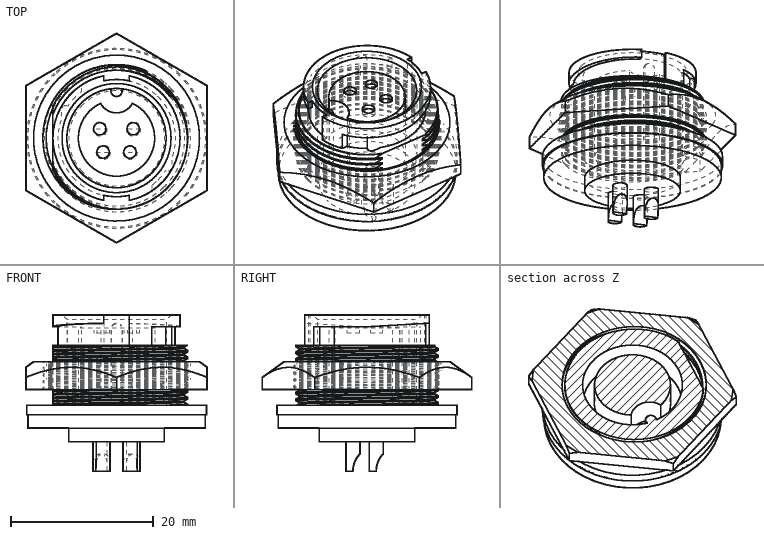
import cadquery as cq
import math


top_z = 12.64
rim_underside_z = 10.98
ramp_end_z = 11.48
thread_top_z = 8.38
flange_step_z = -1.35
flange_bottom_z = -3.2
boss_bottom_z = -5.15
contact_bottom_z = -9.25

flange_radius = 12.62
flange_lower_radius = 12.44
boss_radius = 6.7

pitch = 0.942
crest_radius = 9.97
root_radius = 9.5
crest_width = 0.2
flank_angle = 30
crest_z_at_x_axis = 6.63
thread_overlap = 0.1
barrel_flat_x = -8.9

rim_radius = 8.9
neck_radius = 8.21
notch_half_width = 1.81
stop_x = 4.9
detent_x = 7.71
detent_y = 4.04
detent_fillet = 0.55

bore_radius = 6.95
bore_mouth_radius = 7.64
bore_chamfer_height = 0.6
cavity_floor_z = 0.0

insert_radius = 5.34
insert_top_z = 10.87
insert_notch_radius = 2.55
insert_notch_y = 6.08
key_radius = 0.78
key_y = 6.6
key_ball_z = 10.74
contact_hole_radius = 0.86
contact_hole_depth = 0.7

contact_positions = [(-2.33, 1.3), (2.33, 1.3), (-1.88, -1.96), (1.88, -1.96)]
contact_radius = 0.99
cup_cut_start_z = -6.8

nut_sides = 6
nut_across_flats = 25.4
nut_bottom_z = 2.19
nut_top_z = 6.1
nut_top_radius = 11.62
nut_chamfer_angle = 36
nut_thread_clearance = 0.34
tap_overrun = 0.3


def cylinder(radius, bottom_z, top_z, x=0.0, y=0.0):
    return cq.Workplane("XY", origin=(x, y, bottom_z)).circle(radius).extrude(top_z - bottom_z)


def block(x_range, y_range, z_range):
    """Box between two limits along each axis."""
    size = [high - low for low, high in (x_range, y_range, z_range)]
    corner = (x_range[0], y_range[0], z_range[0])
    return cq.Workplane("XY").box(*size, centered=False).translate(corner)


def thread(root, crest, bottom_z, top_z):
    """Cylinder with a right-handed helical ridge, cut off flat at both ends."""
    inner = root - thread_overlap
    half_crest = crest_width / 2
    half_base = half_crest + (crest - inner) * math.tan(math.radians(flank_angle))
    first_turn = math.floor((bottom_z - crest_z_at_x_axis) / pitch) - 1
    start_z = crest_z_at_x_axis + first_turn * pitch
    turns = math.ceil((top_z - start_z) / pitch) + 1
    path = cq.Wire.makeHelix(pitch, turns * pitch, root).translate(cq.Vector(0, 0, start_z))
    ridge = (
        cq.Workplane("XZ")
        .polyline([
            (inner, start_z - half_base),
            (crest, start_z - half_crest),
            (crest, start_z + half_crest),
            (inner, start_z + half_base),
        ])
        .close()
        .sweep(cq.Workplane(path), isFrenet=True)
    )
    trimmed_ridge = ridge.intersect(cylinder(crest + 1, bottom_z, top_z))
    return cylinder(root, bottom_z, top_z).union(trimmed_ridge)


def flange():
    upper = cylinder(flange_radius, flange_step_z, 0)
    lower = cylinder(flange_lower_radius, flange_bottom_z, flange_step_z)
    boss = cylinder(boss_radius, boss_bottom_z, flange_bottom_z)
    return upper.union(lower).union(boss)


def threaded_barrel():
    barrel = thread(root_radius, crest_radius, 0, thread_top_z)
    beyond = -2 * crest_radius
    flat_cut = block((beyond, barrel_flat_x), (beyond, -beyond), (-1, thread_top_z + 1))
    return barrel.cut(flat_cut)


def detent():
    """Rounded rib on the neck, at the -X +Y side, that holds the locked mating plug."""
    height = (thread_top_z, rim_underside_z)
    rib = block((-detent_x, -neck_radius / 2), (0, detent_y), height)
    nose = cylinder(detent_fillet, *height, detent_fillet - detent_x, detent_y)
    return rib.union(nose)


def bayonet_channel():
    """Entry notch at -Y with the ramped channel that runs from it past -X to the stop."""
    reach = 2 * rim_radius
    ring = cylinder(reach, thread_top_z, top_z).cut(cylinder(neck_radius, thread_top_z, top_z))
    notch = block((-notch_half_width, notch_half_width), (-reach, 0), (thread_top_z, top_z))
    ramp_end_y = -math.sqrt(rim_radius**2 - notch_half_width**2)
    ramp_slope = (ramp_end_z - rim_underside_z) / ramp_end_y
    ramped = (
        cq.Workplane("YZ")
        .polyline([
            (0, thread_top_z),
            (0, rim_underside_z),
            (-reach, rim_underside_z - reach * ramp_slope),
            (-reach, thread_top_z),
        ])
        .close()
        .extrude(-reach)
    )
    level = block((-reach, -stop_x), (0, reach), (thread_top_z, rim_underside_z))
    return ring.intersect(notch.union(ramped).union(level)).cut(detent())


def bayonet_end():
    end = cylinder(rim_radius, thread_top_z, top_z)
    for angle in (0, 180):
        end = end.cut(bayonet_channel().rotate((0, 0, 0), (0, 0, 1), angle))
    return end


def socket_cavity():
    chamfer_z = top_z - bore_chamfer_height
    return (
        cq.Workplane("XZ")
        .polyline([
            (0, cavity_floor_z),
            (bore_radius, cavity_floor_z),
            (bore_radius, chamfer_z),
            (bore_mouth_radius, top_z),
            (0, top_z),
        ])
        .close()
        .revolve(360, (0, 0, 0), (0, 1, 0))
    )


def insert():
    disc = cylinder(insert_radius, cavity_floor_z, insert_top_z)
    disc = disc.cut(cylinder(insert_notch_radius, cavity_floor_z, insert_top_z, 0, insert_notch_y))
    for x, y in contact_positions:
        disc = disc.cut(cylinder(contact_hole_radius, insert_top_z - contact_hole_depth, insert_top_z, x, y))
    return disc


def key():
    post = cylinder(key_radius, cavity_floor_z, key_ball_z, 0, key_y)
    ball = cq.Workplane("XY").sphere(key_radius).translate((0, key_y, key_ball_z))
    return post.union(ball)


def contact(x, y):
    """Contact tail; a concave cut on its +Y side leaves a half-round solder cup."""
    tail = cylinder(contact_radius, contact_bottom_z, boss_bottom_z, x, y)
    cut_height = cup_cut_start_z - contact_bottom_z
    cut_radius = (contact_radius**2 + cut_height**2) / (2 * contact_radius)
    cutter = (
        cq.Workplane("YZ", origin=(x, y + cut_radius, contact_bottom_z))
        .circle(cut_radius)
        .extrude(contact_radius, both=True)
    )
    return tail.cut(cutter)


def connector():
    body = flange().union(threaded_barrel()).union(bayonet_end())
    body = body.cut(socket_cavity()).union(insert()).union(key())
    for x, y in contact_positions:
        body = body.union(contact(x, y))
    return body


def nut():
    half_side_angle = 180 / nut_sides
    across_corners = nut_across_flats / math.cos(math.radians(half_side_angle))
    corner_radius = across_corners / 2
    hexagon = (
        cq.Workplane("XY", origin=(0, 0, nut_bottom_z))
        .polygon(nut_sides, across_corners)
        .extrude(nut_top_z - nut_bottom_z)
        .rotate((0, 0, 0), (0, 0, 1), half_side_angle)
    )
    chamfer_drop = (corner_radius - nut_top_radius) * math.tan(math.radians(nut_chamfer_angle))
    envelope = (
        cq.Workplane("XZ")
        .polyline([
            (0, nut_bottom_z),
            (corner_radius, nut_bottom_z),
            (corner_radius, nut_top_z - chamfer_drop),
            (nut_top_radius, nut_top_z),
            (0, nut_top_z),
        ])
        .close()
        .revolve(360, (0, 0, 0), (0, 1, 0))
    )
    minor_radius = root_radius + nut_thread_clearance
    major_radius = crest_radius + nut_thread_clearance
    threaded_hole = thread(minor_radius, major_radius, nut_bottom_z - tap_overrun, nut_top_z + tap_overrun)
    return hexagon.intersect(envelope).cut(threaded_hole)


result = cq.Compound.makeCompound([connector().val(), nut().val()])